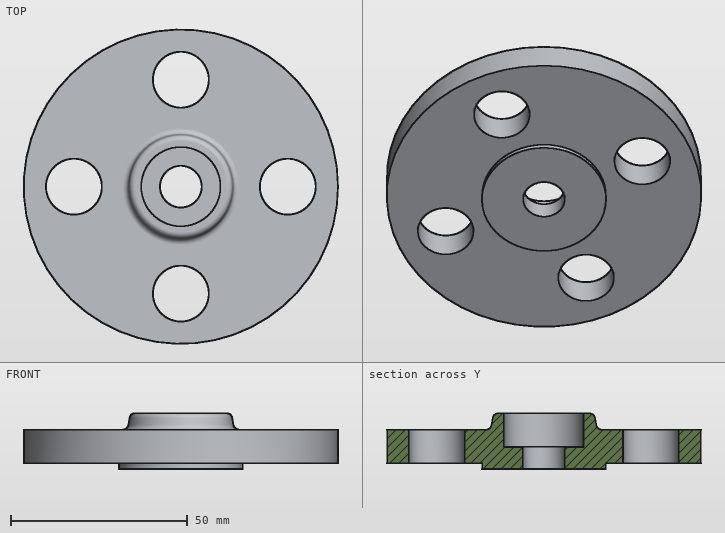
import cadquery as cq
import math

plate_diameter = 88.9
plate_thickness = 9.6

face_diameter = 35.1
face_height = 1.6

hub_base_diameter = 30.2
hub_height = 4.6
hub_taper_angle = 10.0
hub_fillet = 1.6

socket_diameter = 22.4
socket_depth = 9.5
bore_diameter = 11.7

bolt_circle_diameter = 60.4
bolt_hole_diameter = 15.7
bolt_count = 4

plate_bottom = face_height
plate_top = plate_bottom + plate_thickness
hub_top = plate_top + hub_height


def flange_body():
    """Revolve the plate, sealing face and tapered hub, then round the hub's rim and root."""
    hub_base_radius = hub_base_diameter / 2
    hub_top_radius = hub_base_radius - hub_height * math.tan(math.radians(hub_taper_angle))
    profile = (
        cq.Workplane("XZ")
        .moveTo(0, 0)
        .lineTo(face_diameter / 2, 0)
        .lineTo(face_diameter / 2, plate_bottom)
        .lineTo(plate_diameter / 2, plate_bottom)
        .lineTo(plate_diameter / 2, plate_top)
        .lineTo(hub_base_radius, plate_top)
        .lineTo(hub_top_radius, hub_top)
        .lineTo(0, hub_top)
        .close()
    )
    body = profile.revolve(360, (0, 0, 0), (0, 1, 0))
    rim = body.faces(">Z").edges("%CIRCLE")
    root = body.faces("%CONE").edges("<Z")
    return rim.add(root).fillet(hub_fillet)


def cut_centre_bore(body):
    """Cut the pipe socket from the hub and the smaller bore through its floor."""
    return body.faces(">Z").workplane(origin=(0, 0, hub_top)).cboreHole(
        bore_diameter, socket_diameter, socket_depth
    )


def cut_bolt_holes(body):
    """Cut equally spaced through holes on the bolt circle, starting on +X."""
    holes = (
        cq.Workplane("XY")
        .polarArray(bolt_circle_diameter / 2, 0, 360, bolt_count)
        .circle(bolt_hole_diameter / 2)
        .extrude(plate_top)
    )
    return body.cut(holes)


result = cut_bolt_holes(cut_centre_bore(flange_body()))